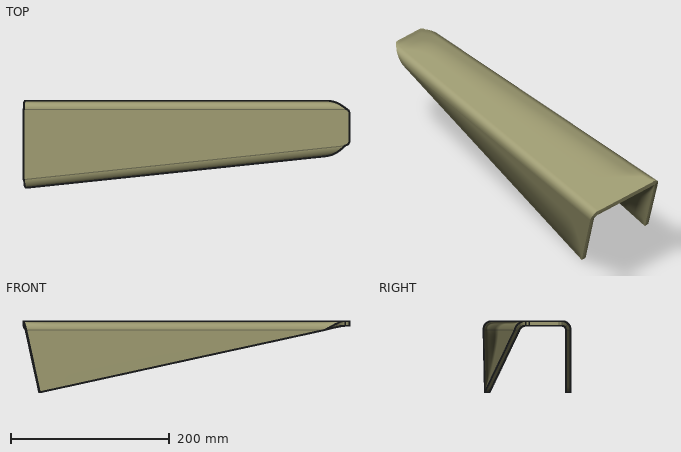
import cadquery as cq
import math


length = 411.2
width = 110.0
height = 90.0

thickness = 6.0
outer_radius = 11.0
inner_radius = outer_radius - thickness
skew_angle = 6.0
skew = math.radians(skew_angle)

bend_start = 0.5
bend_end = 408.5
bend_end_middle = 396.5
bend_middle_angle = 45.0
cutter_clearance = 1.2

wall_angle = 12.3
wall_slope = math.tan(math.radians(wall_angle))
wall_drop = height - outer_radius
wall_start = 2.5
wall_tip = wall_start + wall_drop * wall_slope
wall_end = wall_tip + wall_drop / wall_slope

nose_corner = 4.0
nose_corner_radius = 6.5

straight_bend_y = -outer_radius
skew_bend_y = outer_radius * math.cos(skew) - wall_start * math.sin(skew) - width


def skew_line_y(x):
    """Y of the skewed bend line at a given X."""
    return skew_bend_y + x * math.tan(skew)


def polar(radius, angle):
    a = math.radians(angle)
    return radius * math.cos(a), radius * math.sin(a)


def ring_sector(x, r_in, r_out, a_start, a_end):
    """Ring sector about the bend axis at X = x; 0 degrees faces the wall, 90 the top plate."""
    a_mid = (a_start + a_end) / 2
    return (
        cq.Workplane("YZ", origin=(x, 0, -outer_radius))
        .moveTo(*polar(r_in, a_start))
        .lineTo(*polar(r_out, a_start))
        .threePointArc(polar(r_out, a_mid), polar(r_out, a_end))
        .lineTo(*polar(r_in, a_end))
        .threePointArc(polar(r_in, a_mid), polar(r_in, a_start))
        .close()
    )


def end_cutter(x_start, x_end, a_start, a_end):
    """Twisted cutter whose leading radial face turns round the bend from a_start to a_end."""
    sector = ring_sector(
        x_start, inner_radius - cutter_clearance, outer_radius + cutter_clearance, a_start - 90, a_start
    )
    return sector.twistExtrude(x_end - x_start, a_end - a_start)


def make_bend():
    """Quarter-round bend with helical end cuts that run into the wall's slanted edges."""
    bend = ring_sector(bend_start, inner_radius, outer_radius, 0, 90).extrude(bend_end - bend_start)
    bend = bend.cut(end_cutter(bend_start, wall_start, bend_middle_angle, 0))
    bend = bend.cut(end_cutter(wall_end, bend_end_middle, 0, bend_middle_angle))
    return bend.cut(end_cutter(bend_end_middle, bend_end, bend_middle_angle, 90))


def make_wall():
    """Triangular wall hanging below the bend, with a right angle at its lower tip."""
    return (
        cq.Workplane("XZ", origin=(0, outer_radius, 0))
        .moveTo(wall_start, -outer_radius)
        .lineTo(wall_tip, -height)
        .lineTo(wall_end, -outer_radius)
        .close()
        .extrude(thickness)
    )


def make_top_plate():
    """Flat plate between the bend lines, with rounded corners at the narrow end."""
    skew_end_x = bend_end * math.cos(skew)
    return (
        cq.Workplane("XY")
        .moveTo(0, straight_bend_y)
        .lineTo(0, skew_line_y(0))
        .lineTo(skew_end_x, skew_line_y(skew_end_x))
        .radiusArc((length, skew_line_y(length) + nose_corner), -nose_corner_radius)
        .lineTo(length, straight_bend_y - nose_corner)
        .radiusArc((bend_end, straight_bend_y), -nose_corner_radius)
        .close()
        .extrude(-thickness)
    )


side = make_bend().union(make_wall())
straight_side = side.translate((0, straight_bend_y, 0))
skew_side = side.mirror("XZ").rotate((0, 0, 0), (0, 0, 1), skew_angle).translate((0, skew_bend_y, 0))

result = make_top_plate().union(straight_side).union(skew_side)